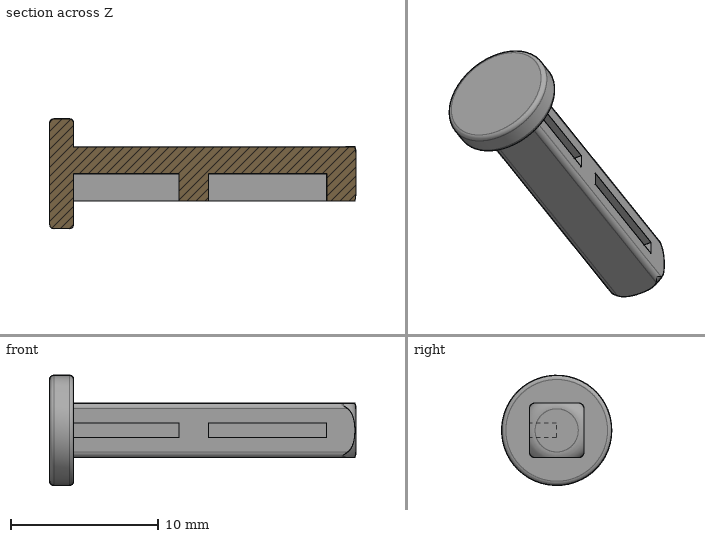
import cadquery as cq

total_length = 20.82
head_diameter = 7.5
head_thickness = 1.65
head_fillet = 0.3

shank_width = 3.7
shank_edge_fillet = 0.37

tip_diameter = 4.93
tip_fillet = 1.0

slot_depth = shank_width / 2
slot_height = 1.0
near_slot_end = 8.79
far_slot_start = 10.8
far_slot_end = 18.82


def make_head():
    """Round head with both rims filleted."""
    head = cq.Workplane("YZ").circle(head_diameter / 2).extrude(head_thickness)
    return head.faces("<X or >X").edges().fillet(head_fillet)


def make_shank():
    """Square bar with rounded long edges and a rounded tip."""
    bar = cq.Workplane("YZ").rect(shank_width, shank_width).extrude(total_length)
    bar = bar.edges("|X").fillet(shank_edge_fillet)
    tip_envelope = cq.Workplane("YZ").circle(tip_diameter / 2).extrude(total_length)
    tip_envelope = tip_envelope.faces(">X").edges().fillet(tip_fillet)
    return bar.intersect(tip_envelope)


def make_slot(start, end):
    """Cutter for a blind rectangular slot between two X positions."""
    slot = cq.Workplane("XY").box(end - start, slot_depth, slot_height)
    return slot.translate(((start + end) / 2, (slot_depth - shank_width) / 2, 0))


shank = make_shank()
for start, end in ((head_thickness, near_slot_end), (far_slot_start, far_slot_end)):
    shank = shank.cut(make_slot(start, end))

result = make_head().union(shank)